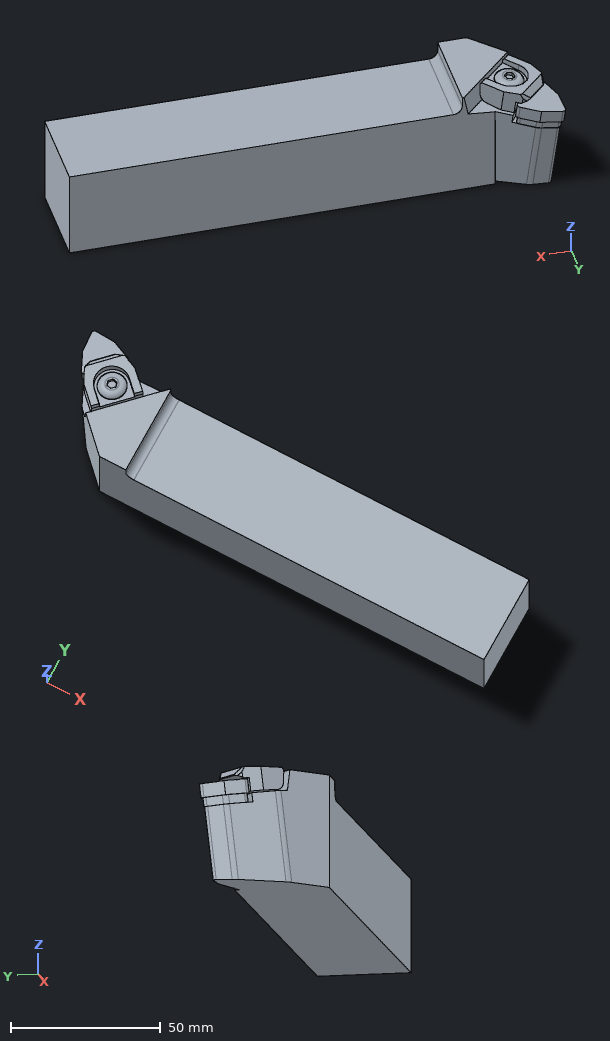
import cadquery as cq
import math

length = 170.0
shank = 32.0
head_top = 38.4
head_back = 34.0
step_fillet = 3.0
chamfer_foot = 24.0
block_front = 15.3
nose_root = 22.6

seat_tilt = 8.0
insert_x = 7.3
insert_y = 32.6
seat_z = 28.7
tilt_cos = math.cos(math.radians(seat_tilt))
tilt_sin = math.sin(math.radians(seat_tilt))
diagonal = math.sqrt(0.5)

seat_plane = cq.Plane(
    origin=(insert_x, insert_y, seat_z),
    xDir=(tilt_cos * diagonal, -tilt_cos * diagonal, tilt_sin),
    normal=(-tilt_sin * diagonal, tilt_sin * diagonal, tilt_cos),
)

insert_inradius = 12.7 / 2
insert_thickness = 4.8
tip_half_angle = 40.0
bend_half_angle = tip_half_angle + 60
side_angle = 20.0
nose_radius = 1.2
shim_inset = 0.5
shim_thickness = 3.0
nose_inset = 0.7
nose_blend = 6.0
pocket_clearance = 0.7
nose_back = 23.8

clamp_half_width = 9.0
clamp_gap = 0.7
clamp_taper_start = 10.0
clamp_lip = 2.2
clamp_lip_height = 6.6
clamp_lip_corner = 1.5
clamp_lip_slope = 2.2
clamp_corner_chamfer = 0.8
clamp_lip_root = 4.2
clamp_front_height = 9.2
clamp_rear_top = 18.7
clamp_rear_height = 8.2
clamp_rear_chamfer = 1.0
clamp_rear_foot = 18.5
clamp_rear_round = 2.9
clamp_underside = insert_thickness + 0.5

screw_x = 12.9
screw_diameter = 6.0
counterbore_diameter = 12.2
counterbore_floor = 6.3
head_diameter = 10.0
head_edge = 0.3
head_flat_diameter = 4.8
head_dome_bulge = 0.3
head_crown = 8.2
socket_flats = 3.0
socket_depth = 1.2


def near(point):
    """Selects the edge whose middle is nearest to the point."""
    return cq.selectors.NearestToPointSelector(point)


def tip_radius(inradius):
    """Distance from the centre of a trigon to its sharp tips."""
    return inradius / math.sin(math.radians(tip_half_angle))


def bend_radius(inradius):
    """Distance from the centre of a trigon to the bends of its sides."""
    return inradius / math.sin(math.radians(bend_half_angle))


def trigon(inradius, base, height, bend_blend=0.0):
    """Three-cornered plate with bent sides and rounded tips, one tip pointing along local -x."""
    points = []
    for step in range(3):
        tip_angle = math.pi + step * 2 * math.pi / 3
        bend_angle = tip_angle + math.pi / 3
        for radius, angle in ((tip_radius(inradius), tip_angle), (bend_radius(inradius), bend_angle)):
            points.append((radius * math.cos(angle), radius * math.sin(angle)))
    plate = cq.Workplane("XY").workplane(offset=base).polyline(points).close().extrude(height)
    middle_z = base + height / 2
    for x, y in points[0::2]:
        plate = plate.edges(near((x, y, middle_z))).fillet(nose_radius)
    if bend_blend > 0:
        for x, y in points[1::2]:
            plate = plate.edges(near((x, y, middle_z))).fillet(bend_blend)
    return plate


def on_seat(shape):
    """Moves a shape from local seat axes to its place in the part."""
    return cq.Workplane(shape.val().moved(cq.Location(seat_plane)))


def make_insert():
    return on_seat(trigon(insert_inradius, 0, insert_thickness))


def make_shank():
    """Shank with the raised head; its -X end is cut by the 45 degree chamfer."""
    outline = [
        (chamfer_foot, 0),
        (length, 0),
        (length, shank),
        (nose_root, shank),
        (block_front, chamfer_foot - block_front),
    ]
    block = cq.Workplane("XY").polyline(outline).close().extrude(head_top)
    step = (
        cq.Workplane("XZ")
        .moveTo(head_back, head_top)
        .lineTo(head_back, shank + step_fillet)
        .radiusArc((head_back + step_fillet, shank), -step_fillet)
        .lineTo(length, shank)
        .lineTo(length, head_top)
        .close()
        .extrude(-shank)
    )
    return block.cut(step)


def make_seat_space():
    """Space above the seat, closed at the back by the wall that stands on the line X = Y."""
    wall_foot = (insert_y - insert_x) * diagonal / tilt_cos
    lean = math.tan(math.radians(2 * seat_tilt))
    reach = 51.0
    height = 20.4
    profile = [(-reach, 0), (wall_foot, 0), (wall_foot + height * lean, height), (-reach, height)]
    return on_seat(cq.Workplane("XZ").polyline(profile).close().extrude(reach, both=True))


def make_nose():
    """Nose that carries the seat, a prism square to the seat, level at the base and the head top."""
    inradius = insert_inradius - nose_inset
    tip_x = -tip_radius(inradius)
    bend_x = -bend_radius(inradius) * math.cos(math.pi / 3)
    bend_y = bend_radius(inradius) * math.sin(math.pi / 3)
    half_width = (insert_x + insert_y - chamfer_foot) * diagonal
    flank_end = bend_x + (half_width - bend_y) / math.tan(math.radians(side_angle))
    outline = [
        (tip_x, 0),
        (bend_x, -bend_y),
        (flank_end, -half_width),
        (nose_back, -half_width),
        (nose_back, half_width),
        (flank_end, half_width),
        (bend_x, bend_y),
    ]
    nose = cq.Workplane("XY").polyline(outline).close().extrude(length, both=True)
    blends = [
        (tip_x, 0, nose_radius),
        (bend_x, -bend_y, nose_blend),
        (bend_x, bend_y, nose_blend),
        (flank_end, -half_width, nose_blend),
    ]
    for x, y, radius in blends:
        nose = nose.edges(near((x, y, 0))).fillet(radius)
    nose = nose.cut(trigon(insert_inradius + pocket_clearance, -shim_thickness, shim_thickness))
    level_slab = cq.Workplane("XY").rect(2 * length, 2 * length).extrude(head_top)
    return on_seat(nose).intersect(level_slab)


def make_shim():
    shim = trigon(insert_inradius - shim_inset, -shim_thickness, shim_thickness, nose_blend)
    return on_seat(shim)


def make_clamp():
    """Clamp held just above the seat by its screw; its lip reaches over the back of the insert."""
    side = (
        cq.Workplane("XZ")
        .moveTo(clamp_lip_root, clamp_gap)
        .lineTo(clamp_lip_root, clamp_underside)
        .lineTo(clamp_lip, clamp_lip_height)
        .lineTo(clamp_lip, clamp_front_height - clamp_lip_slope)
        .lineTo(clamp_lip + clamp_lip_slope, clamp_front_height)
        .lineTo(clamp_rear_top, clamp_rear_height)
        .lineTo(clamp_rear_top + clamp_rear_chamfer / 2, clamp_rear_height - clamp_rear_chamfer)
        .lineTo(clamp_rear_foot, clamp_gap + clamp_rear_round)
        .radiusArc((clamp_rear_foot - clamp_rear_round, clamp_gap), clamp_rear_round)
        .close()
        .extrude(clamp_half_width, both=True)
    )
    corner_x = clamp_lip + clamp_lip_corner
    taper = (clamp_taper_start - corner_x) * math.tan(math.radians(side_angle))
    corner_y = clamp_half_width - taper
    lip_y = corner_y - clamp_lip_corner
    outline = [
        (clamp_lip, -lip_y),
        (corner_x, -corner_y),
        (clamp_taper_start, -clamp_half_width),
        (clamp_rear_top + clamp_rear_chamfer, -clamp_half_width),
        (clamp_rear_top + clamp_rear_chamfer, clamp_half_width),
        (clamp_taper_start, clamp_half_width),
        (corner_x, corner_y),
        (clamp_lip, lip_y),
    ]
    plan = cq.Workplane("XY").polyline(outline).close().extrude(clamp_front_height)
    clamp = side.intersect(plan)
    middle_x = clamp_lip + clamp_lip_corner / 2
    middle_y = lip_y + clamp_lip_corner / 2
    middle_z = clamp_front_height - clamp_lip_slope + clamp_lip_corner / 2
    corner_edges = near((middle_x, -middle_y, middle_z)) + near((middle_x, middle_y, middle_z))
    clamp = clamp.edges(corner_edges).chamfer(clamp_corner_chamfer)
    clamp = clamp.cut(trigon(insert_inradius + pocket_clearance, 0, clamp_underside))
    counterbore = (
        cq.Workplane("XY")
        .workplane(offset=counterbore_floor)
        .center(screw_x, 0)
        .circle(counterbore_diameter / 2)
        .extrude(clamp_front_height)
    )
    slot = (
        cq.Workplane("XY")
        .workplane(offset=counterbore_floor)
        .center(screw_x + counterbore_diameter / 2, 0)
        .rect(counterbore_diameter, counterbore_diameter)
        .extrude(clamp_front_height)
    )
    return on_seat(clamp.cut(counterbore).cut(slot))


def make_screw():
    """Screw with a domed head and a hexagon socket, its shank ending on the seat."""
    edge_height = counterbore_floor + head_edge
    dome_middle = (
        (head_diameter + head_flat_diameter) / 4 + head_dome_bulge,
        (edge_height + head_crown) / 2 + head_dome_bulge,
    )
    head = (
        cq.Workplane("XZ")
        .moveTo(0, counterbore_floor)
        .lineTo(head_diameter / 2, counterbore_floor)
        .lineTo(head_diameter / 2, edge_height)
        .threePointArc(dome_middle, (head_flat_diameter / 2, head_crown))
        .lineTo(0, head_crown)
        .close()
        .revolve(360, (0, 0), (0, 1))
    )
    socket = (
        cq.Workplane("XY")
        .workplane(offset=head_crown - socket_depth)
        .polygon(6, socket_flats, circumscribed=True)
        .extrude(socket_depth)
    )
    stem = cq.Workplane("XY").circle(screw_diameter / 2).extrude(counterbore_floor)
    return on_seat(head.cut(socket).union(stem).translate((screw_x, 0, 0)))


def make_holder():
    """Tool holder in one piece with its shim, clamp and clamp screw."""
    holder = make_shank().union(make_nose()).cut(make_seat_space())
    return holder.union(make_shim()).union(make_clamp()).union(make_screw())


insert = make_insert()
holder = make_holder()
result = cq.Compound.makeCompound([holder.solids().val(), insert.val()])